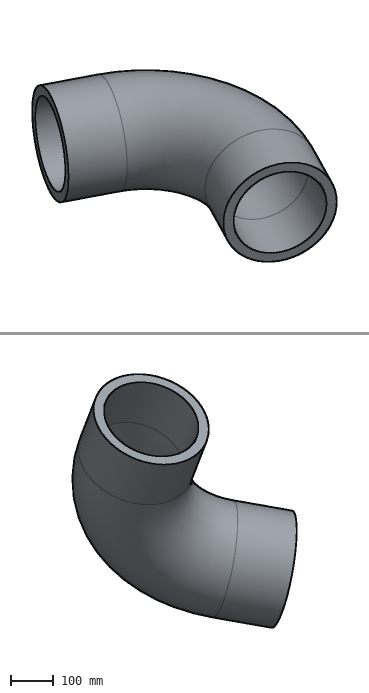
import cadquery as cq

overall_length = 569.0
outer_diameter = 280.0
bore_diameter = 229.5
straight_length = 144.0

bend_radius = overall_length - outer_diameter / 2 - straight_length


def elbow_solid(diameter):
    """Solid round bar along the centreline, from the -Y end to the +X end."""
    radius = diameter / 2
    inlet = (
        cq.Workplane("XZ", origin=(0, -straight_length, 0))
        .circle(radius)
        .extrude(-straight_length)
    )
    bend = (
        cq.Workplane("XZ")
        .circle(radius)
        .revolve(90, (bend_radius, 0), (bend_radius, -1))
    )
    outlet = (
        cq.Workplane("YZ", origin=(bend_radius, bend_radius, 0))
        .circle(radius)
        .extrude(straight_length)
    )
    return inlet.union(bend).union(outlet)


result = elbow_solid(outer_diameter).cut(elbow_solid(bore_diameter))